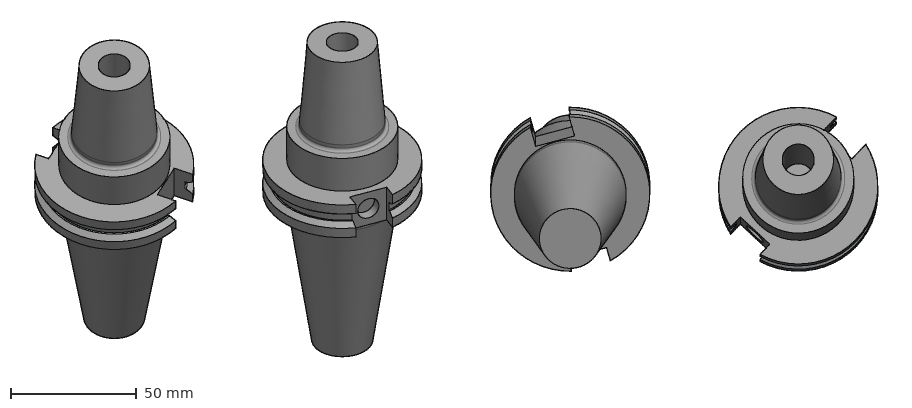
import cadquery as cq

total_height = 144.5
taper_height = 68.5
collar_height = 3.2
flange_width = 15.9
body_height = 15.9
nose_foot_height = 3.0

flange_bottom = taper_height + collar_height
flange_middle = flange_bottom + flange_width / 2
flange_top = flange_bottom + flange_width
body_top = flange_top + body_height
nose_foot_top = body_top + nose_foot_height

shank_taper = 7 / 24
gauge_radius = 22.2
shank_end_radius = gauge_radius - taper_height * shank_taper / 2
flange_radius = 31.6
body_radius = 22.1
nose_foot_radius = 17.0
nose_top_radius = 14.0
foot_fillet = 1.5

groove_mouth_width = 7.0
groove_floor_width = 3.6
groove_bevel_radius = 29.0
groove_floor_radius = 28.3

slot_width = 16.0
left_slot_floor = 25.0
right_slot_floor = 22.5

bore_radius = 6.4
bore_depth = 43.3
side_hole_radius = 4.6
side_hole_depth = 4.3


def turned_body():
    """Shank, flange, body and nose as one revolved profile."""
    profile = (
        cq.Workplane("XZ")
        .lineTo(shank_end_radius, 0)
        .lineTo(gauge_radius, taper_height)
        .lineTo(gauge_radius, flange_bottom)
        .lineTo(flange_radius, flange_bottom)
        .lineTo(flange_radius, flange_top)
        .lineTo(body_radius, flange_top)
        .lineTo(body_radius, body_top)
        .lineTo(nose_foot_radius + foot_fillet, body_top)
        .radiusArc((nose_foot_radius, body_top + foot_fillet), foot_fillet)
        .lineTo(nose_foot_radius, nose_foot_top)
        .lineTo(nose_top_radius, total_height)
        .lineTo(0, total_height)
        .close()
    )
    return profile.revolve(360, (0, 0, 0), (0, 1, 0))


def gripper_groove():
    """Ring with bevelled sides and a stepped floor."""
    half_mouth = groove_mouth_width / 2
    half_floor = groove_floor_width / 2
    section = (
        cq.Workplane("XZ", origin=(0, 0, flange_middle))
        .moveTo(flange_radius, -half_mouth)
        .lineTo(groove_bevel_radius, -half_floor)
        .lineTo(groove_floor_radius, -half_floor)
        .lineTo(groove_floor_radius, half_floor)
        .lineTo(groove_bevel_radius, half_floor)
        .lineTo(flange_radius, half_mouth)
        .close()
    )
    return section.revolve(360, (0, 0, 0), (0, 1, 0))


def drive_slot(side, floor):
    """Slot through the flange height; side is -1 for -X and 1 for +X."""
    depth = flange_radius - floor
    middle = side * (floor + depth / 2)
    return cq.Workplane("XY").box(depth, slot_width, flange_width).translate((middle, 0, flange_middle))


def nose_bore():
    return cq.Workplane("XY", origin=(0, 0, total_height)).circle(bore_radius).extrude(-bore_depth)


def side_hole():
    """Blind hole in the floor of the -X drive slot."""
    start = cq.Workplane("YZ", origin=(-left_slot_floor, 0, flange_middle))
    return start.circle(side_hole_radius).extrude(side_hole_depth)


result = (
    turned_body()
    .cut(gripper_groove())
    .cut(drive_slot(-1, left_slot_floor))
    .cut(drive_slot(1, right_slot_floor))
    .cut(nose_bore())
    .cut(side_hole())
)